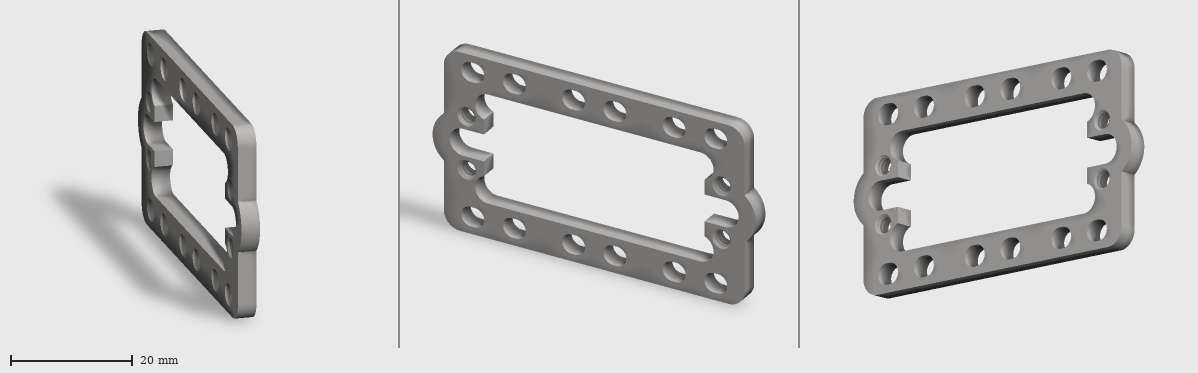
import cadquery as cq
import math

length = 61.2
body_length = 56.9
height = 33.3
thickness = 3.2
corner_radius = 3.05
lobe_radius = 5.5

window_height = 20.3
window_length = 45.15
window_corner_radius = 2.5
tab_gap = 41.7
end_slot_width = 5.0
end_slot_length = 54.7

mount_slot_length = 4.35
mount_slot_width = 3.6
mount_slot_offsets = (3.9, 15.1, 23.0)
mount_row_offset = 13.45

crest_radius = 1.375
root_radius = 1.8
thread_pitch = 0.8
thread_crest_width = 0.09
thread_root_width = 0.09
thread_turns = math.ceil(thickness / thread_pitch) + 1
thread_rise = thread_turns * thread_pitch
chamfer_depth = 0.25

hole_x = 24.1
hole_z = 4.95
threaded_holes = (
    (-hole_x, hole_z, 300),
    (hole_x, hole_z, 70),
    (-hole_x, -hole_z, 190),
    (hole_x, -hole_z, 300),
)


def plate_plane():
    """Workplane on the mid-plane of the plate, with local x along X and local y along Z."""
    return cq.Workplane("XZ")


def through_plate(outline):
    return outline.extrude(thickness / 2, both=True)


def plate_blank():
    body = through_plate(plate_plane().rect(body_length, height)).edges("|Y").fillet(corner_radius)
    lobe_x = length / 2 - lobe_radius
    lobes = through_plate(plate_plane().pushPoints([(-lobe_x, 0), (lobe_x, 0)]).circle(lobe_radius))
    return body.union(lobes)


def window():
    """Opening with a round pocket at each corner and a slot running out between the tabs at each end."""
    pocket_spacing_x = window_length - 2 * window_corner_radius
    pocket_spacing_z = window_height - 2 * window_corner_radius
    full_height = through_plate(plate_plane().rect(pocket_spacing_x, window_height))
    between_tabs = through_plate(plate_plane().rect(tab_gap, pocket_spacing_z))
    pockets = through_plate(
        plate_plane()
        .rect(pocket_spacing_x, pocket_spacing_z, forConstruction=True)
        .vertices()
        .circle(window_corner_radius)
    )
    end_slots = through_plate(plate_plane().slot2D(end_slot_length, end_slot_width))
    return full_height.union(between_tabs).union(pockets).union(end_slots)


def mount_slots():
    centers = [
        (x_side * offset, z_side * mount_row_offset)
        for offset in mount_slot_offsets
        for x_side in (-1, 1)
        for z_side in (-1, 1)
    ]
    return through_plate(plate_plane().pushPoints(centers).slot2D(mount_slot_length, mount_slot_width))


def axis_point(z):
    return cq.Vector(0, 0, z)


def helix_turn(radius, bottom):
    """One turn of a right-handed helix about Z that starts above the X axis at the given height."""
    return cq.Wire.makeHelix(thread_pitch, thread_pitch, radius, center=axis_point(bottom)).Edges()[0]


def thread_end_faces(form_corners, edge_helix, bottom):
    """Radial face over one pitch of the thread form, and the helicoid from its edge helix to the axis."""
    top = bottom + thread_pitch
    outline = [cq.Vector(radius, 0, bottom + rise) for radius, rise in form_corners]
    outline += [cq.Vector(crest_radius, 0, top), axis_point(top), axis_point(bottom)]
    radial_face = cq.Face.makeFromWires(cq.Wire.makePolygon(outline, close=True))
    axis_edge = cq.Edge.makeLine(axis_point(bottom), axis_point(top))
    helicoid = cq.Face.makeRuledSurface(edge_helix, axis_edge)
    return [radial_face, helicoid]


def thread_tool():
    """Solid core of a threaded hole about Z, longer than the plate is thick.

    One pitch of the thread form is a list of (radius, rise) corners. Every corner follows a helix,
    and ruled faces join neighbouring helices turn by turn.
    """
    flank_rise = (thread_pitch - thread_crest_width - thread_root_width) / 2
    root_start = thread_crest_width + flank_rise
    form_corners = [
        (crest_radius, 0),
        (crest_radius, thread_crest_width),
        (root_radius, root_start),
        (root_radius, root_start + thread_root_width),
    ]
    bottom = -(thread_rise + thread_pitch) / 2
    top = bottom + thread_rise
    helices = [
        helix_turn(radius, bottom + turn * thread_pitch + rise)
        for turn in range(thread_turns)
        for radius, rise in form_corners
    ]
    helices.append(helix_turn(crest_radius, top))

    faces = [cq.Face.makeRuledSurface(low, high) for low, high in zip(helices, helices[1:])]
    faces += thread_end_faces(form_corners, helices[0], bottom)
    faces += thread_end_faces(form_corners, helices[-1], top)
    return cq.Workplane(obj=cq.Solid.makeSolid(cq.Shell.makeShell(faces)))


def mouth_chamfer():
    """Cone about Z that opens the thread to its root radius at the lower mouth."""
    return (
        cq.Workplane("XY", origin=(0, 0, -thickness / 2))
        .circle(root_radius)
        .workplane(offset=chamfer_depth)
        .circle(crest_radius)
        .loft()
    )


def cut_threaded_holes(plate):
    thread = thread_tool()
    chamfer = mouth_chamfer()
    for x, z, turn_angle in threaded_holes:
        turned_thread = thread.rotate((0, 0, 0), (0, 0, 1), turn_angle)
        for tool in (turned_thread, chamfer, chamfer.mirror("XY")):
            plate = plate.cut(tool.rotate((0, 0, 0), (1, 0, 0), 90).translate((x, 0, z)))
    return plate


result = cut_threaded_holes(plate_blank().cut(window()).cut(mount_slots()))